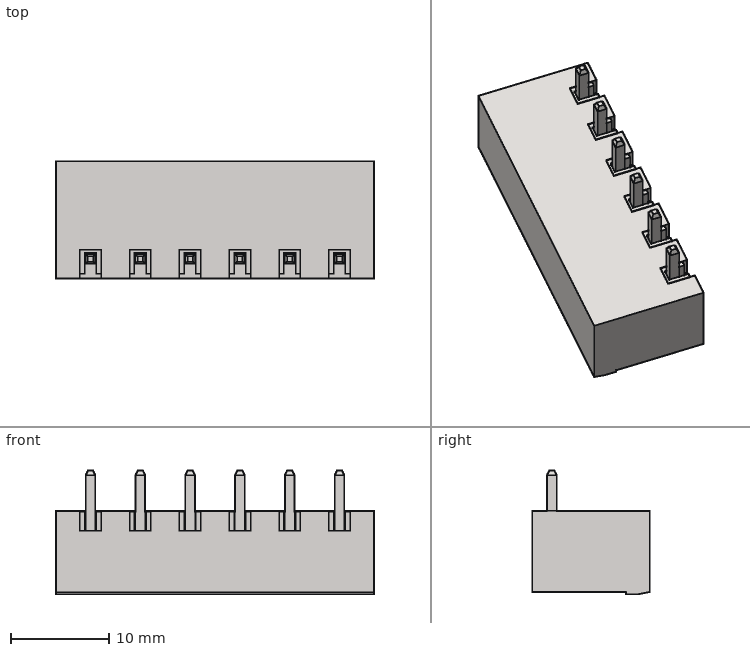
import cadquery as cq

length = 32.48
depth = 12.0
total_height = 12.65
front = -depth / 2
back = depth / 2

rib_drop = 0.23
rib_width = 2.45
rib_ramp = 1.15

pin_count = 6
pin_end_margin = 3.55
pin_side = 1.0
pin_tip_side = 0.52
pin_tip_height = 0.5
pin_projection = 4.12
pin_setback = 1.5

housing_height = total_height - rib_drop - pin_projection
pin_pitch = (length - 2 * pin_end_margin) / (pin_count - 1)
pin_y = front + pin_setback + pin_side / 2

pocket_width = 2.18
pocket_length = 2.92
pocket_depth = 2.05
clip_wall = 0.5
clip_front_setback = 0.5
clip_sink = 0.1
pin_clearance = 0.13

pocket_floor = housing_height - pocket_depth
pocket_back = front + pocket_length
channel_width = pocket_width - 2 * clip_wall
channel_back = pin_y + pin_side / 2 + pin_clearance


def block(width, y_start, y_end, z_start, z_end):
    """Box centred on X = 0, spanning the given Y and Z ranges."""
    size = (width, y_end - y_start, z_end - z_start)
    corner = (-width / 2, y_start, z_start)
    return cq.Workplane("XY").box(*size, centered=False).translate(corner)


def make_housing():
    """Plain block with a ramped rib under its rear edge, drawn as a YZ profile."""
    profile = [
        (front, 0),
        (front, housing_height),
        (back, housing_height),
        (back, 0),
        (back - rib_ramp, -rib_drop),
        (back - rib_width, -rib_drop),
        (back - rib_width, 0),
    ]
    return cq.Workplane("YZ").polyline(profile).close().extrude(length / 2, both=True)


def make_pocket():
    """Space cut from the housing: the pocket less the clip left standing in it."""
    pocket = block(pocket_width, front, pocket_back, pocket_floor, housing_height)
    clip_front = front + clip_front_setback
    clip = block(pocket_width, clip_front, pocket_back, pocket_floor, housing_height - clip_sink)
    channel = block(channel_width, clip_front, channel_back, pocket_floor, housing_height)
    return pocket.cut(clip.cut(channel))


def make_pin():
    """Square pin standing on the pocket floor, with a tapered tip."""
    shoulder = housing_height + pin_projection - pin_tip_height
    shank = block(pin_side, pin_y - pin_side / 2, pin_y + pin_side / 2, pocket_floor, shoulder)
    tip = (
        cq.Workplane("XY", origin=(0, pin_y, shoulder))
        .rect(pin_side, pin_side)
        .workplane(offset=pin_tip_height)
        .rect(pin_tip_side, pin_tip_side)
        .loft(ruled=True)
    )
    return shank.union(tip)


result = make_housing()
pocket = make_pocket()
pin = make_pin()
for index in range(pin_count):
    pin_x = (index - (pin_count - 1) / 2) * pin_pitch
    result = result.cut(pocket.translate((pin_x, 0, 0)))
    result = result.union(pin.translate((pin_x, 0, 0)))